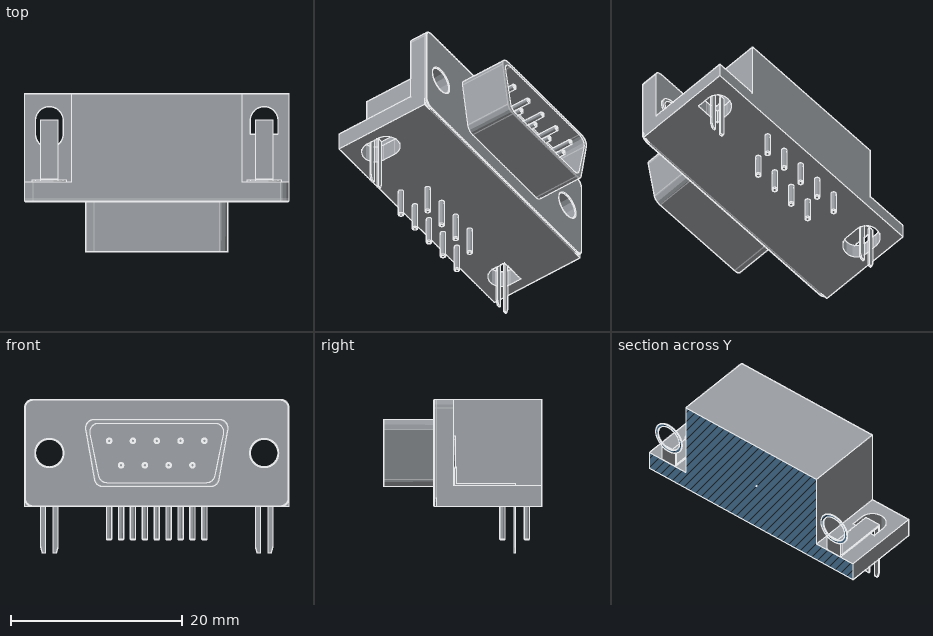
import cadquery as cq
import math


width = 30.8
height = 12.5
depth = 12.6
flange_thickness = 2.3
shelf_height = 2.5
block_width = 19.8
corner_radius = 1.0
center_z = height / 2

plate_thickness = 0.3
plate_edge_chamfer = 0.1

shell_length = 5.84
cavity_depth = 3.74
shell_height = 7.82
shell_mid_width = 15.58
shell_side_angle = 10
shell_wall = 0.45
cavity_mid_width = 14.62
cavity_side_angle = 11.5
shell_corner_radius = 1.0
shell_rim_fillet = 0.06

contact_count = 9
contact_pitch = 2.77
row_spacing = 2.84
pin_diameter = 0.64
pin_tip_chamfer = 0.12
contact_length = 5.6
tail_length = 3.9
tail_mid_y = 9.42

hole_spacing = 25.0
hole_diameter = 3.2
rivet_diameter = 4.0
rivet_thickness = 0.22

slot_width = hole_diameter
slot_front_y = 7.88
slot_back_y = 9.46

strap_width = 2.06
strap_thickness = 0.2
leg_clearance = 0.13
strap_front_y = flange_thickness + leg_clearance
strap_back_y = tail_mid_y + strap_thickness / 2
strap_top = shelf_height + strap_thickness
prong_gap = 0.84
prong_length = 5.4
prong_taper_length = 0.73
prong_taper_inset = 0.2


def box(x_min, x_max, y_min, y_max, z_min, z_max):
    """Box given by its limits along each axis."""
    size = (x_max - x_min, y_max - y_min, z_max - z_min)
    return cq.Workplane("XY").box(*size, centered=False).translate((x_min, y_min, z_min))


def disc(diameter, x, y_start, y_end):
    """Cylinder along Y, level with the middle of the housing."""
    return (
        cq.Workplane("XZ", origin=(x, y_start, center_z))
        .circle(diameter / 2)
        .extrude(y_start - y_end)
    )


def make_housing():
    """Wide flange, full-height middle block and a low shelf on each side."""
    flange = box(-width / 2, width / 2, plate_thickness, flange_thickness, 0, height)
    flange = flange.edges("|Y and >Z").fillet(corner_radius)
    block = box(-block_width / 2, block_width / 2, plate_thickness, depth, 0, height)
    shelf = box(-width / 2, width / 2, plate_thickness, depth, 0, shelf_height)
    return flange.union(block).union(shelf)


def make_plate():
    """Front plate with four round corners and broken front edges."""
    plate = box(-width / 2, width / 2, 0, plate_thickness, 0, height)
    plate = plate.edges("|Y").fillet(corner_radius)
    return plate.faces("<Y").chamfer(plate_edge_chamfer)


def make_d_prism(d_height, mid_width, side_angle):
    """Shell-length prism with a rounded D outline, wider at the top."""
    half_height = d_height / 2
    side_run = half_height * math.tan(math.radians(side_angle))
    half_top = mid_width / 2 + side_run
    half_bottom = mid_width / 2 - side_run
    outline = [
        (-half_top, half_height),
        (half_top, half_height),
        (half_bottom, -half_height),
        (-half_bottom, -half_height),
    ]
    prism = cq.Workplane("XZ", origin=(0, 0, center_z)).polyline(outline).close()
    return prism.extrude(shell_length).edges("|Y").fillet(shell_corner_radius)


def make_shell():
    """D-shaped shell with an open front cavity; the insulator fills the rest."""
    outer = make_d_prism(shell_height, shell_mid_width, shell_side_angle)
    outer = outer.faces("<Y").edges().fillet(shell_rim_fillet)
    cavity = make_d_prism(shell_height - 2 * shell_wall, cavity_mid_width, cavity_side_angle)
    return outer.cut(cavity.translate((0, cavity_depth - shell_length, 0)))


def make_contact(index):
    """Contact pin inside the shell and its solder tail; even ones are in the upper row."""
    x = (index - (contact_count - 1) / 2) * contact_pitch / 2
    row = 1 if index % 2 == 0 else -1
    z = center_z + row * row_spacing / 2
    y = tail_mid_y + row * row_spacing / 2
    pin = (
        cq.Workplane("XZ", origin=(x, plate_thickness, z))
        .circle(pin_diameter / 2)
        .extrude(contact_length + plate_thickness)
        .faces("<Y")
        .chamfer(pin_tip_chamfer)
    )
    tail = (
        cq.Workplane("XY", origin=(x, y, shelf_height))
        .circle(pin_diameter / 2)
        .extrude(-shelf_height - tail_length)
        .faces("<Z")
        .chamfer(pin_tip_chamfer)
    )
    return pin.union(tail)


def make_slot(side):
    """Shelf opening, round at the back; the front end is round on the -X side only."""
    x = side * hole_spacing / 2
    half = slot_width / 2
    slot = box(x - half, x + half, slot_front_y, slot_back_y, 0, shelf_height)
    round_ends = [slot_back_y]
    if side < 0:
        round_ends.append(slot_front_y)
    for y in round_ends:
        slot = slot.union(cq.Workplane("XY", origin=(x, y, 0)).circle(half).extrude(shelf_height))
    return slot


def make_prong_plate(x):
    """Downward end of a board lock: two prongs with tapered outer tips."""
    half = strap_width / 2
    tip_half = half - prong_taper_inset
    outline = [
        (-half, strap_top),
        (half, strap_top),
        (half, prong_taper_length - prong_length),
        (tip_half, -prong_length),
        (-tip_half, -prong_length),
        (-half, prong_taper_length - prong_length),
    ]
    plate = (
        cq.Workplane("XZ", origin=(x, strap_back_y, 0))
        .polyline(outline)
        .close()
        .extrude(strap_thickness)
    )
    gap = box(
        x - prong_gap / 2, x + prong_gap / 2,
        strap_back_y - strap_thickness, strap_back_y,
        -prong_length, shelf_height,
    )
    return plate.cut(gap)


def make_board_lock(side):
    """Rivet rim, upright leg, strap across the shelf and the two prongs."""
    x = side * hole_spacing / 2
    x_min = x - strap_width / 2
    x_max = x + strap_width / 2
    leg_top = center_z - hole_diameter / 2
    leg_back_y = strap_front_y + strap_thickness
    rivet = disc(rivet_diameter, x, flange_thickness, flange_thickness + rivet_thickness)
    leg = box(x_min, x_max, strap_front_y, leg_back_y, shelf_height, leg_top)
    strap = box(x_min, x_max, strap_front_y, strap_back_y, shelf_height, strap_top)
    return rivet.union(leg).union(strap).union(make_prong_plate(x))


def make_mounting_hole(side):
    """Through hole with a small lead-in chamfer on the front face."""
    x = side * hole_spacing / 2
    rim_diameter = hole_diameter + 2 * plate_edge_chamfer
    lead_in = disc(rim_diameter, x, -plate_edge_chamfer, plate_edge_chamfer)
    lead_in = lead_in.faces(">Y").chamfer(plate_edge_chamfer)
    return disc(hole_diameter, x, 0, depth).union(lead_in)


housing = make_housing()
for side in (-1, 1):
    housing = housing.cut(make_slot(side)).union(make_board_lock(side))

connector = housing.union(make_shell())
for index in range(contact_count):
    connector = connector.union(make_contact(index))

result = connector.union(make_plate(), clean=False)
for side in (-1, 1):
    result = result.cut(make_mounting_hole(side), clean=False)